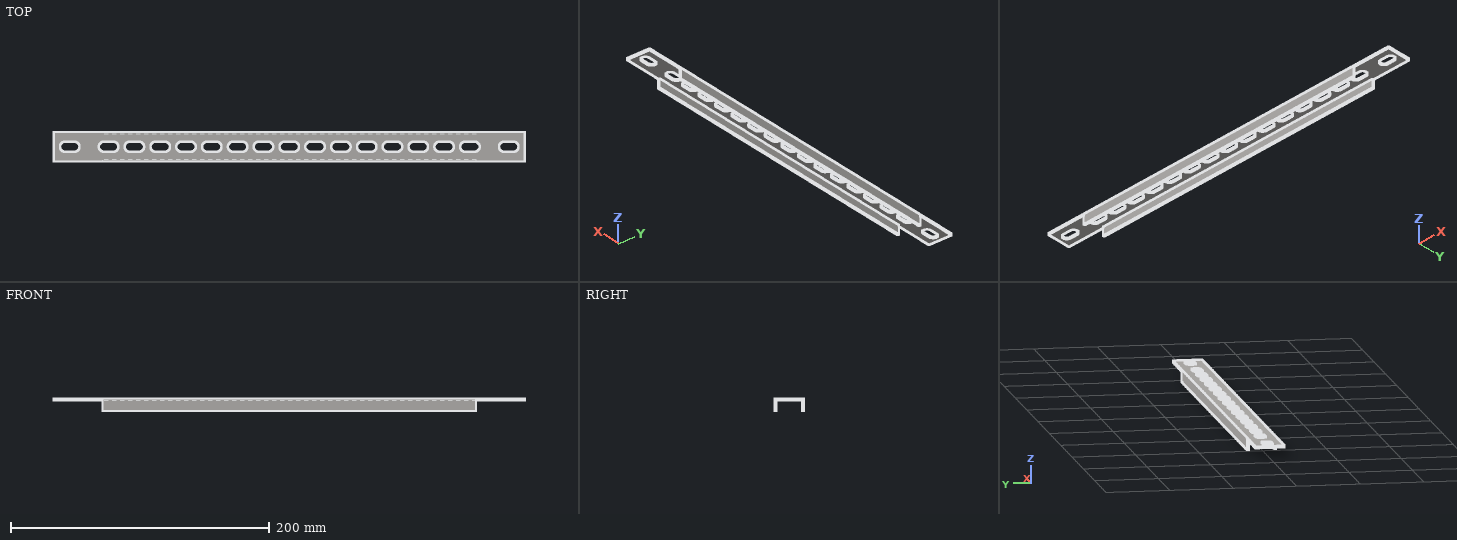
import cadquery as cq

length = 365.0
width = 23.0
height = 10.0
thickness = 1.5

flange_length = 289.5

slot_length = 15.0
slot_width = 7.5
row_slot_count = 15
row_span = 280.0
end_slot_span = 340.0
row_pitch = row_span / (row_slot_count - 1)


def make_top_plate():
    """Flat plate with its upper face at Z = 0."""
    return cq.Workplane("XY").box(length, width, thickness, centered=(True, True, False)).translate(
        (0, 0, -thickness)
    )


def make_flange(side):
    """Downward flange flush with the plate edge; side is -1 or +1 along Y."""
    center_y = side * (width - thickness) / 2
    return cq.Workplane("XY").box(flange_length, thickness, height).translate((0, center_y, -height / 2))


def make_slots():
    """Cutters for the row of slots and the mounting slot at each end."""
    row_centers = [(i * row_pitch - row_span / 2, 0) for i in range(row_slot_count)]
    end_centers = [(-end_slot_span / 2, 0), (end_slot_span / 2, 0)]
    return (
        cq.Workplane("XY")
        .pushPoints(row_centers + end_centers)
        .slot2D(slot_length, slot_width)
        .extrude(-thickness)
    )


channel = make_top_plate()
for side in (-1, 1):
    channel = channel.union(make_flange(side))

result = channel.cut(make_slots())